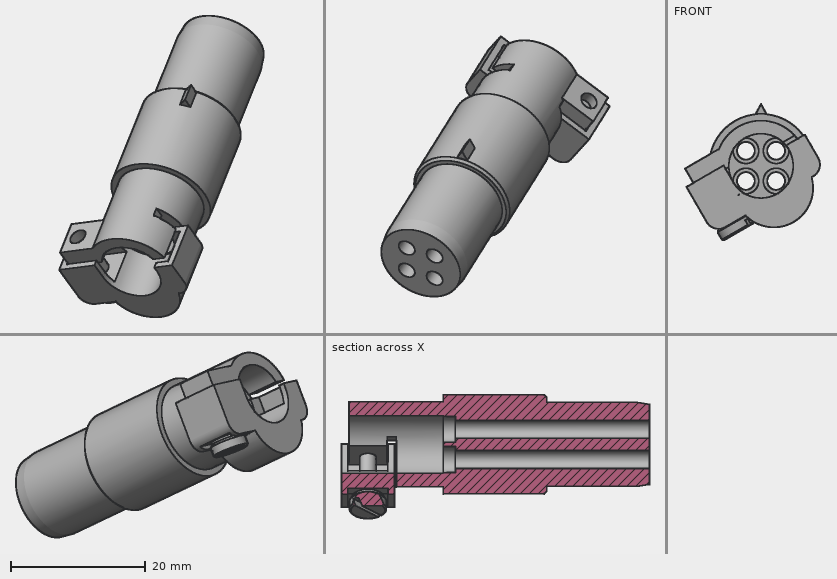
import cadquery as cq

clamp_tilt = 30

total_length = 45.9
front_diameter = 13.5
rear_diameter = 13.4
bore_diameter = 9.6
bore_radius = bore_diameter / 2
barrel_start = 8.15
collar_diameter = 15.5
collar_start = 15.15
collar_end = 30.6
collar_chamfer = 0.4
rear_taper_length = 2.0
rear_end_diameter = 12.8

contact_spacing = 4.5
contact_diameter = 2.6
contact_seat_diameter = 3.8
contact_seat_depth = 1.85

key_start = 27.15
key_end = 30.1
key_half_width = 0.83
key_base = 7.35
key_shoulder = 7.7
key_tip = 9.23

cover_start = 1.1
cover_end = 6.8
cover_edge_height = 1.4
arm_end = -10.0
arm_bottom = 2.25
arm_top = 5.32
neck_half_width = 4.6
neck_bottom = 3.3

clamp_length = 7.95
clamp_left = -11.2
clamp_left_top = 2.85
clamp_right = 8.0
clamp_right_top = 0.8
clamp_bottom = -5.25
clamp_corner_radius = 2.0
clamp_round_center = -3.8
clamp_round_radius = 5.88
pocket_clearance = 0.15
pocket_start = cover_start - pocket_clearance
pocket_end = cover_end + pocket_clearance
pocket_left = arm_end - pocket_clearance
pocket_right = 6.9
pocket_floor = -2.05
head_recess_floor = -4.6
head_recess_right = -4.8

screw_u = -7.8
screw_y = (cover_start + cover_end) / 2
shank_diameter = 2.5
arm_hole_diameter = 2.6
arm_hole_depth = 1.9
head_diameter = 5.5
head_neck_diameter = 4.77
head_shoulder = -4.95
head_bottom = -6.85
head_chamfer = (head_diameter - head_neck_diameter) / 2
head_edge_chamfer = 0.25
driver_slot_width = 0.65
driver_slot_depth = 1.0
driver_slot_angle = -45


def block(u_span, y_span, v_span):
    """Box between two values along each axis."""
    size = [span[1] - span[0] for span in (u_span, y_span, v_span)]
    corner = (u_span[0], y_span[0], v_span[0])
    return cq.Workplane("XY").box(*size, centered=False).translate(corner)


def rod(diameter, start, end):
    """Cylinder along the barrel axis."""
    return cq.Workplane("XZ", origin=(0, start, 0)).circle(diameter / 2).extrude(start - end)


def screw_disk(diameter, bottom, top):
    """Cylinder on the screw axis."""
    return cq.Workplane("XY", origin=(screw_u, screw_y, bottom)).circle(diameter / 2).extrude(top - bottom)


def tilt(body):
    return body.rotate((0, 0, 0), (0, 1, 0), -clamp_tilt)


def make_barrel():
    profile = [
        (0, cover_start),
        (front_diameter / 2, cover_start),
        (front_diameter / 2, collar_start),
        (collar_diameter / 2, collar_start),
        (collar_diameter / 2, collar_end - collar_chamfer),
        (collar_diameter / 2 - collar_chamfer, collar_end),
        (rear_diameter / 2, collar_end),
        (rear_diameter / 2, total_length - rear_taper_length),
        (rear_end_diameter / 2, total_length),
        (0, total_length),
    ]
    body = cq.Workplane("XY").polyline(profile).close().revolve(360, (0, 0, 0), (0, 1, 0))
    body = body.cut(rod(bore_diameter, cover_start, collar_start))
    for x in (-contact_spacing / 2, contact_spacing / 2):
        for z in (-contact_spacing / 2, contact_spacing / 2):
            passage = rod(contact_diameter, collar_start, total_length)
            seat = rod(contact_seat_diameter, collar_start, collar_start + contact_seat_depth)
            body = body.cut(passage.union(seat).translate((x, 0, z)))
    return body


def make_key():
    outline = [
        (-key_half_width, key_base),
        (key_half_width, key_base),
        (key_half_width, key_shoulder),
        (0, key_tip),
        (-key_half_width, key_shoulder),
    ]
    return cq.Workplane("XZ", origin=(0, key_start, 0)).polyline(outline).close().extrude(key_start - key_end)


def make_wall_cutaway():
    """Space around the clamp where the barrel wall is removed."""
    reach = front_diameter / 2
    cover_span = (cover_start, cover_end)
    right_side = block((0, reach), cover_span, (cover_edge_height, reach))
    left_side = block((-reach, 0), cover_span, (arm_bottom, reach))
    neck = block((-neck_half_width, neck_half_width), (cover_end, barrel_start), (neck_bottom, reach))
    space = block((-reach, reach), (cover_start, barrel_start), (-reach, reach))
    return space.cut(right_side).cut(left_side).cut(neck)


def make_arm():
    body = block((arm_end, 0), (cover_start, cover_end), (arm_bottom, arm_top))
    body = body.cut(rod(bore_diameter, cover_start, cover_end))
    return body.cut(screw_disk(arm_hole_diameter, arm_top - arm_hole_depth, arm_top))


def make_clamp():
    length = (0, clamp_length)
    left = block((clamp_left, 0), length, (clamp_bottom, clamp_left_top))
    left = left.edges("|Y and <X and <Z").fillet(clamp_corner_radius)
    right = block((0, clamp_right), length, (clamp_bottom, clamp_right_top))
    right = right.edges("|Y and >X and <Z").fillet(clamp_corner_radius)
    lobe = rod(2 * clamp_round_radius, 0, clamp_length).translate((0, 0, clamp_round_center))
    body = left.union(right).union(lobe)

    throat = block((-bore_radius, bore_radius), length, (0, clamp_left_top))
    body = body.cut(rod(bore_diameter, 0, clamp_length)).cut(throat)

    middle = (pocket_start, pocket_end)
    cover_pocket = block((pocket_left, pocket_right), middle, (pocket_floor, clamp_left_top))
    head_recess = block((clamp_left, head_recess_right), middle, (clamp_bottom, head_recess_floor))
    return body.cut(cover_pocket).cut(head_recess)


def make_screw():
    head = screw_disk(head_diameter, head_bottom, head_shoulder)
    head = head.faces(">Z").chamfer(head_chamfer).faces("<Z").chamfer(head_edge_chamfer)
    slot = cq.Workplane("XY").box(2 * head_diameter, driver_slot_width, driver_slot_depth)
    slot = slot.rotate((0, 0, 0), (0, 0, 1), driver_slot_angle)
    head = head.cut(slot.translate((screw_u, screw_y, head_bottom + driver_slot_depth / 2)))
    neck = screw_disk(head_neck_diameter, head_shoulder, head_recess_floor)
    shank = screw_disk(shank_diameter, head_recess_floor, arm_top - arm_hole_depth)
    return head.union(neck).union(shank)


barrel = make_barrel().union(make_key()).cut(tilt(make_wall_cutaway()))
clamp = make_arm().union(make_clamp()).union(make_screw())
result = barrel.union(tilt(clamp))